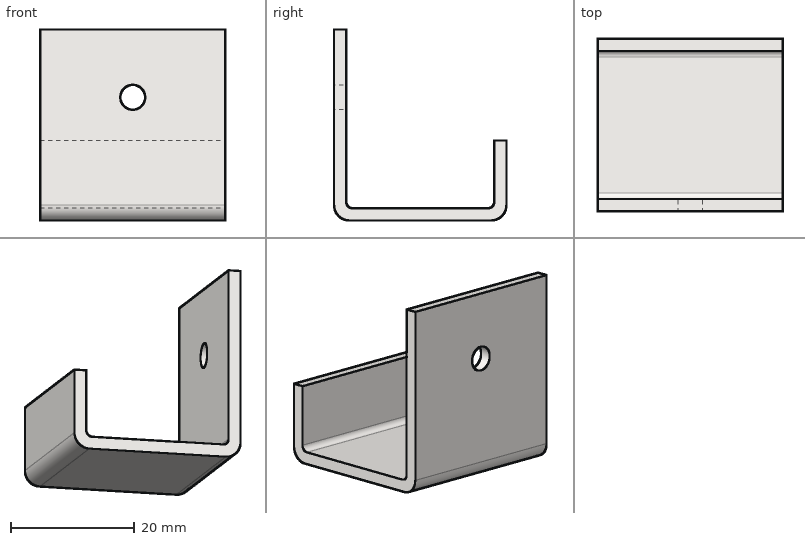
import cadquery as cq

width = 30.0
depth = 28.0
height = 31.0
short_wall_height = 13.0

thickness = 2.0
inner_bend_radius = 1.0
outer_bend_radius = 2.5

hole_diameter = 4.0
hole_height = 20.0

front = -depth / 2
back = depth / 2


def bent_sheet():
    """J-shaped sheet profile extruded along X, with rounded bends."""
    profile = [
        (front, 0),
        (back, 0),
        (back, short_wall_height),
        (back - thickness, short_wall_height),
        (back - thickness, thickness),
        (front + thickness, thickness),
        (front + thickness, height),
        (front, height),
    ]
    sheet = cq.Workplane("YZ").polyline(profile).close().extrude(width / 2, both=True)
    sheet = sheet.faces("<Z").edges("|X").fillet(outer_bend_radius)
    inner_corners = cq.selectors.BoxSelector(
        (-width, front + thickness / 2, thickness / 2),
        (width, back - thickness / 2, thickness * 3 / 2),
    )
    return sheet.edges("|X").edges(inner_corners).fillet(inner_bend_radius)


def wall_hole():
    """Cylinder along Y that crosses only the front wall."""
    return (
        cq.Workplane("XZ", origin=(0, front + thickness, 0))
        .center(0, hole_height)
        .circle(hole_diameter / 2)
        .extrude(thickness)
    )


result = bent_sheet().cut(wall_hole())